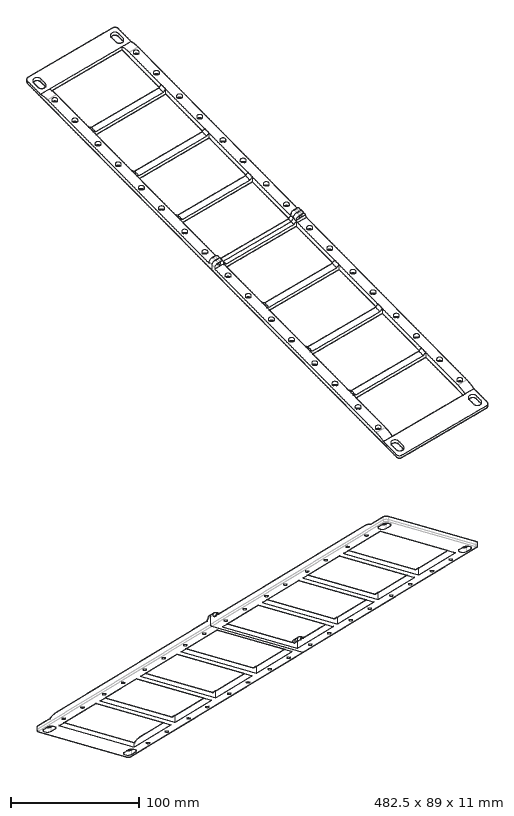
import cadquery as cq

LENGTH = 482.5
WIDTH = 89.0
HEIGHT = 11.0
HALF_LENGTH = LENGTH / 2
HALF_WIDTH = WIDTH / 2

PLATE_THICKNESS = 3.95
PLATE_INNER_X = 221.5
CORNER_RADIUS = 3.0
BOTTOM_EDGE_RADIUS = 1.2

SLOT_LENGTH = 12.5
SLOT_WIDTH = 6.8
SLOT_X = 231.0
SLOT_Y = 38.0

HOLE_SPACING = 26.0
HOLE_DIAMETER = 2.8
HOLE_HEAD_DIAMETER = 4.6
HOLE_HEAD_DEPTH = 4.0

RAIL_HOLE_MARGIN = 2.1
RAIL_STEP = 2.05
RAIL_WIDTH = HOLE_HEAD_DIAMETER + 2 * RAIL_HOLE_MARGIN
RAIL_HEIGHT = PLATE_THICKNESS + RAIL_STEP
RAIL_ROUNDING_LENGTH = 9.0
RAIL_INNER_Y = HALF_WIDTH - RAIL_WIDTH
RAIL_CENTER_Y = HALF_WIDTH - RAIL_WIDTH / 2

BAY_PITCH = 56.0
BARS_PER_HALF = 3
BAYS_PER_HALF = BARS_PER_HALF + 1
BAR_WIDTH = 6.0
BAR_CHAMFER = 2.5

JOINT_THICKNESS = 3.6
TAB_EDGE_RADIUS = 3.5
TAB_HOLE_Z = 9.0
TAB_HOLE_DIAMETER = 2.8
TAB_FOOT_CHAMFER = 1.5

SIDES = (-1, 1)


def box(x_start, x_end, y_start, y_end, z_start, z_end):
    """A box given by its limits along each axis."""
    size = (x_end - x_start, y_end - y_start, z_end - z_start)
    return cq.Workplane("XY").box(*size, centered=False).translate((x_start, y_start, z_start))


def outer_body():
    """Solid block of one half with rounded end corners and rounded bottom edges."""
    block = box(0, HALF_LENGTH, -HALF_WIDTH, HALF_WIDTH, 0, HEIGHT)
    block = block.edges("|Z and >X").fillet(CORNER_RADIUS)
    return block.faces("<Z").edges("not <X").fillet(BOTTOM_EDGE_RADIUS)


def end_plate():
    return box(PLATE_INNER_X, HALF_LENGTH, -HALF_WIDTH, HALF_WIDTH, 0, PLATE_THICKNESS)


def rail(side):
    """One rail whose top curves down to the end plate."""
    radius = (RAIL_ROUNDING_LENGTH**2 + RAIL_STEP**2) / (2 * RAIL_STEP)
    profile = (
        cq.Workplane("XZ")
        .lineTo(PLATE_INNER_X, 0)
        .lineTo(PLATE_INNER_X, PLATE_THICKNESS)
        .radiusArc((PLATE_INNER_X - RAIL_ROUNDING_LENGTH, RAIL_HEIGHT), -radius)
        .lineTo(0, RAIL_HEIGHT)
        .close()
    )
    return profile.extrude(RAIL_WIDTH / 2, both=True).translate((0, side * RAIL_CENTER_Y, 0))


def cross_bar(x_start, x_end):
    """A flat bar that rises to the rails along a sloped face at each end."""
    slope_y = RAIL_INNER_Y - BAR_CHAMFER
    slope_z = PLATE_THICKNESS + BAR_CHAMFER
    profile = [
        (-RAIL_INNER_Y, 0),
        (RAIL_INNER_Y, 0),
        (RAIL_INNER_Y, slope_z),
        (slope_y, PLATE_THICKNESS),
        (-slope_y, PLATE_THICKNESS),
        (-RAIL_INNER_Y, slope_z),
    ]
    bar = cq.Workplane("YZ").polyline(profile).close().extrude(x_end - x_start)
    return bar.translate((x_start, 0, 0))


def joint_tab(side):
    """Upright tab on a rail, with rounded top edges."""
    y = side * RAIL_CENTER_Y
    tab = box(0, JOINT_THICKNESS, y - RAIL_WIDTH / 2, y + RAIL_WIDTH / 2, 0, HEIGHT)
    return tab.edges("|X and >Z").fillet(TAB_EDGE_RADIUS)


def tab_foot():
    """Sloped foot between the rear (+Y) tab and its rail."""
    profile = [
        (JOINT_THICKNESS, RAIL_HEIGHT),
        (JOINT_THICKNESS + TAB_FOOT_CHAMFER, RAIL_HEIGHT),
        (JOINT_THICKNESS, RAIL_HEIGHT + TAB_FOOT_CHAMFER),
    ]
    foot = cq.Workplane("XZ").polyline(profile).close().extrude(RAIL_WIDTH / 2, both=True)
    return foot.translate((0, RAIL_CENTER_Y, 0))


def mounting_slots():
    points = [(SLOT_X, side * SLOT_Y) for side in SIDES]
    return cq.Workplane("XY").pushPoints(points).slot2D(SLOT_LENGTH, SLOT_WIDTH).extrude(PLATE_THICKNESS)


def screw_hole_points():
    points = []
    for bay in range(BAYS_PER_HALF):
        bay_center = (bay + 0.5) * BAY_PITCH
        for side in SIDES:
            for offset in (-HOLE_SPACING / 2, HOLE_SPACING / 2):
                points.append((bay_center + offset, side * RAIL_CENTER_Y))
    return points


def drill_screw_holes(body):
    """Counterbored holes through the rails."""
    top = body.copyWorkplane(cq.Workplane("XY", origin=(0, 0, RAIL_HEIGHT)))
    return top.pushPoints(screw_hole_points()).cboreHole(HOLE_DIAMETER, HOLE_HEAD_DIAMETER, HOLE_HEAD_DEPTH)


def tab_bolt_holes():
    points = [(side * RAIL_CENTER_Y, TAB_HOLE_Z) for side in SIDES]
    depth = JOINT_THICKNESS + TAB_FOOT_CHAMFER
    return cq.Workplane("YZ").pushPoints(points).circle(TAB_HOLE_DIAMETER / 2).extrude(depth)


def frame_half():
    """The half on the +X side."""
    half = end_plate().union(cross_bar(0, JOINT_THICKNESS))
    for side in SIDES:
        half = half.union(rail(side)).union(joint_tab(side))
    half = half.union(tab_foot())
    for number in range(1, BARS_PER_HALF + 1):
        x = number * BAY_PITCH
        half = half.union(cross_bar(x - BAR_WIDTH / 2, x + BAR_WIDTH / 2))
    half = half.intersect(outer_body())
    half = drill_screw_holes(half)
    return half.cut(mounting_slots()).cut(tab_bolt_holes())


right_half = frame_half()
left_half = right_half.mirror("YZ")

result = cq.Compound.makeCompound([left_half.val(), right_half.val()])